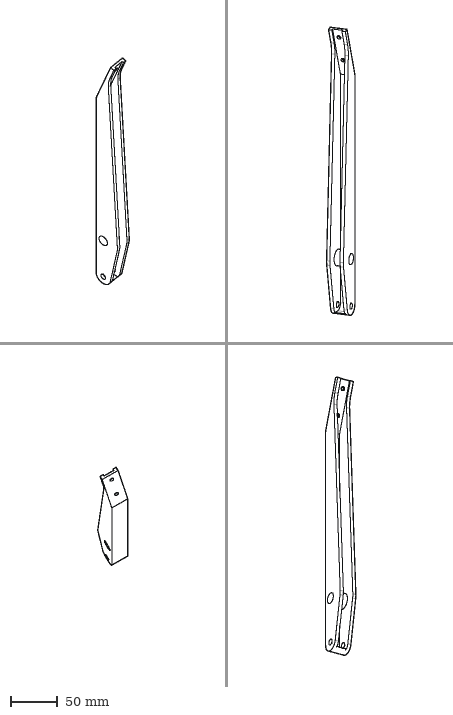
import cadquery as cq
import math

length = 320.2
width = 20.0
end_radius = 10.0
pivot_radius = 20.0
pivot_z = 62.0
pivot_hole_diameter = 12.0
end_hole_diameter = 6.5
axis_x = end_radius

back_taper = math.radians(3.2)
tip_tilt = math.radians(20)
tip_bend_z = 264.5
tip_thickness = 4.8
back_bend_radius = 32.0

slot_width = 12.0
web = 3.0

pivot_boss_radius = 9.0

screw_hole_diameter = 4.2
screw_hole_heights = (282.7, 310.5)


def tip_line_x(offset, z):
    """X of the line parallel to the tip face, lying behind it by offset."""
    return offset / math.cos(tip_tilt) + (z - tip_bend_z) * math.tan(tip_tilt)


def circle_point(center_z, radius, angle):
    """Point on a circle around axis_x, with the angle measured from +X."""
    return (axis_x + radius * math.cos(angle), center_z + radius * math.sin(angle))


def make_outline():
    """Side profile: rounded end, pivot swell, tapered back and bent tip."""
    swell_angle = -math.asin((pivot_radius - end_radius) / (pivot_z - end_radius))
    end_tangent = circle_point(end_radius, end_radius, swell_angle)
    swell_start = circle_point(pivot_z, pivot_radius, swell_angle)
    swell_middle = circle_point(pivot_z, pivot_radius, 0)
    swell_end = circle_point(pivot_z, pivot_radius, back_taper)

    taper = math.tan(back_taper)
    tilt = math.tan(tip_tilt)
    back_bend_z = (swell_end[0] + swell_end[1] * taper - tip_line_x(tip_thickness, 0)) / (tilt + taper)
    back_bend = (tip_line_x(tip_thickness, back_bend_z), back_bend_z)

    tip_front = (tip_line_x(0, length), length)
    tip_back = (
        tip_front[0] + tip_thickness * math.cos(tip_tilt),
        length - tip_thickness * math.sin(tip_tilt),
    )
    body = (
        cq.Workplane("XZ")
        .moveTo(0, end_radius)
        .threePointArc((axis_x, 0), end_tangent)
        .lineTo(*swell_start)
        .threePointArc(swell_middle, swell_end)
        .lineTo(*back_bend)
        .lineTo(*tip_back)
        .lineTo(*tip_front)
        .lineTo(0, tip_bend_z)
        .close()
        .extrude(width / 2, both=True)
    )
    bend_edge = cq.selectors.NearestToPointSelector((back_bend[0], 0, back_bend[1]))
    return body.edges("|Y").edges(bend_edge).fillet(back_bend_radius)


def make_slot():
    """Slot open to the back, leaving an even wall along the front, tip and rounded end."""
    floor_bend_z = tip_bend_z + (web - web / math.cos(tip_tilt)) / math.tan(tip_tilt)
    outside_x = axis_x + 2 * pivot_radius
    return (
        cq.Workplane("XZ")
        .moveTo(axis_x, web)
        .threePointArc(circle_point(end_radius, end_radius - web, math.radians(225)), (web, end_radius))
        .lineTo(web, floor_bend_z)
        .lineTo(tip_line_x(web, length), length)
        .lineTo(outside_x, length)
        .lineTo(outside_x, web)
        .close()
        .extrude(slot_width / 2, both=True)
    )


def make_cross_hole(z, diameter):
    """Hole through both sides along Y."""
    return cq.Workplane("XZ").center(axis_x, z).circle(diameter / 2).extrude(width, both=True)


def make_boss(z, radius):
    """Boss across the slot, reaching into both side walls."""
    boss_length = (slot_width + width) / 2
    return cq.Workplane("XZ").center(axis_x, z).circle(radius).extrude(boss_length / 2, both=True)


def make_screw_hole(z):
    """Hole through the tip, square to its tilted face."""
    inward = cq.Vector(math.cos(tip_tilt), 0, -math.sin(tip_tilt))
    plane = cq.Plane(origin=(tip_line_x(0, z), 0, z), xDir=(0, 1, 0), normal=inward)
    return cq.Workplane(plane).circle(screw_hole_diameter / 2).extrude(width, both=True)


result = make_outline().cut(make_slot())
result = result.union(make_boss(pivot_z, pivot_boss_radius))
result = result.cut(make_cross_hole(pivot_z, pivot_hole_diameter))
result = result.cut(make_cross_hole(end_radius, end_hole_diameter))
for hole_z in screw_hole_heights:
    result = result.cut(make_screw_hole(hole_z))